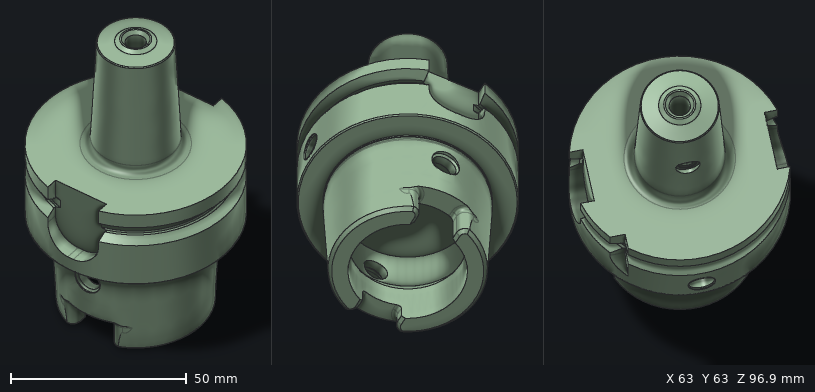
import cadquery as cq
import math

TOTAL_HEIGHT = 96.9

SHANK_HEIGHT = 32.0
SHANK_BOTTOM_RADIUS = 22.7
SHANK_TOP_RADIUS = 24.1
SHANK_EDGE_CHAMFER = 1.1
BORE_RADIUS = 17.0
CHAMBER_RADIUS = 19.9
CHAMBER_BOTTOM = 13.6
CLAMPING_ANGLE = math.radians(30)
RELIEF_RADIUS = 23.9
RELIEF_BOTTOM = 29.8
RELIEF_FLOOR = 30.6
RELIEF_TOP = 31.4

FLANGE_RADIUS = 31.5
FLANGE_TOP = 57.9
FLANGE_EDGE_CHAMFER = 0.4
GROOVE_MIDDLE = 49.9
GROOVE_FLOOR_RADIUS = 27.4
GROOVE_FLOOR_HALF_WIDTH = 1.7
GROOVE_FLANK_RADIUS = 28.7
GROOVE_CORNER = 0.4
FLANK_ANGLE = math.radians(30)

NECK_BASE_RADIUS = 13.1
NECK_TOP_RADIUS = 11.2
NECK_TOP = 95.6
NECK_EDGE_CHAMFER = 0.3
NECK_ROOT_FILLET = 2.9
NOSE_RIM_RADIUS = 6.0
NOSE_RIM_HEIGHT = 96.1
NOSE_TOP_RADIUS = 4.6

TOOL_RADIUS = 3.0
TOOL_BORE_DEPTH = 35.9
TOOL_MOUTH_RADIUS = 4.1
TOOL_MOUTH_DEPTH = 1.1
COOLANT_RADIUS = 1.9

CUTTER_RADIUS = 7.9
SLOT_BOTTOM = 36.8
FRONT_SLOT_HALF_WIDTH = 8.9
REAR_SLOT_HALF_WIDTH = 8.0
SLOT_WALL = 26.5
NOTCH_WALL = 20.0

KEYWAY_HALF_WIDTH = 6.2
FRONT_KEYWAY_DEPTH = 10.0
REAR_KEYWAY_DEPTH = 5.9
KEYWAY_ROOF_FILLET = 1.5
LUG_NOSE_RADIUS = 2.8
LUG_NOSE_REACH = 20.8
LUG_FLANK_ANGLE = math.radians(28)

CROSS_HOLE_RADIUS = 7.5 / 2
CROSS_HOLE_RIM_RADIUS = 4.4
CROSS_HOLE_HEIGHT = 23.2
FLANGE_HOLE_RADIUS = 3.7
FLANGE_HOLE_RIM_RADIUS = 4.0
FLANGE_HOLE_HEIGHT = 39.0
FLANGE_HOLE_DEPTH = 9.7
DRILL_HALF_ANGLE = math.radians(59)

SCREW_HEIGHT = 78.7
SCREW_POCKET_RADIUS = 3.5
SCREW_FACE = 10.95
SCREW_RECESS_RADIUS = 2.6
SCREW_RECESS_DEPTH = 0.3
HEX_ACROSS_FLATS = 3.0
HEX_DEPTH = 1.9

CLEARANCE = 4.8


def revolve_profile(points):
    """Turn (radius, height) points about the Z axis."""
    return cq.Workplane("XZ").polyline(points).close().revolve(360, (0, 0, 0), (0, 1, 0))


def make_shank():
    chamber_floor = CHAMBER_BOTTOM + (CHAMBER_RADIUS - BORE_RADIUS) / math.tan(CLAMPING_ANGLE)
    shank = revolve_profile([
        (BORE_RADIUS, 0),
        (SHANK_BOTTOM_RADIUS - SHANK_EDGE_CHAMFER, 0),
        (SHANK_BOTTOM_RADIUS, SHANK_EDGE_CHAMFER),
        (SHANK_TOP_RADIUS, RELIEF_BOTTOM),
        (RELIEF_RADIUS, RELIEF_FLOOR),
        (RELIEF_RADIUS, RELIEF_TOP),
        (SHANK_TOP_RADIUS, RELIEF_TOP),
        (SHANK_TOP_RADIUS, SHANK_HEIGHT),
        (CHAMBER_RADIUS, SHANK_HEIGHT),
        (CHAMBER_RADIUS, chamber_floor),
        (BORE_RADIUS, CHAMBER_BOTTOM),
    ])
    shank = cut_keyway(shank, FRONT_KEYWAY_DEPTH, front=True)
    return cut_keyway(shank, REAR_KEYWAY_DEPTH, front=False)


def make_flange():
    flank_rise = (FLANGE_RADIUS - GROOVE_FLANK_RADIUS) * math.tan(FLANK_ANGLE)
    groove_half = [
        (GROOVE_FLOOR_RADIUS, GROOVE_FLOOR_HALF_WIDTH - GROOVE_CORNER),
        (GROOVE_FLOOR_RADIUS + GROOVE_CORNER, GROOVE_FLOOR_HALF_WIDTH),
        (GROOVE_FLANK_RADIUS, GROOVE_FLOOR_HALF_WIDTH),
        (FLANGE_RADIUS, GROOVE_FLOOR_HALF_WIDTH + flank_rise),
    ]
    lower_side = [(r, GROOVE_MIDDLE - h) for r, h in reversed(groove_half)]
    upper_side = [(r, GROOVE_MIDDLE + h) for r, h in groove_half]
    return revolve_profile([
        (0, SHANK_HEIGHT),
        (FLANGE_RADIUS - FLANGE_EDGE_CHAMFER, SHANK_HEIGHT),
        (FLANGE_RADIUS, SHANK_HEIGHT + FLANGE_EDGE_CHAMFER),
        *lower_side,
        *upper_side,
        (FLANGE_RADIUS, FLANGE_TOP),
        (0, FLANGE_TOP),
    ])


def make_neck():
    """Tapered neck with a low conical nose and a round root fillet."""
    taper = math.atan2(NECK_BASE_RADIUS - NECK_TOP_RADIUS, NECK_TOP - FLANGE_TOP)
    tangent_length = NECK_ROOT_FILLET * math.tan((math.pi / 2 - taper) / 2)
    foot = (NECK_BASE_RADIUS + tangent_length, FLANGE_TOP)
    centre = (foot[0], FLANGE_TOP + NECK_ROOT_FILLET)
    mid_angle = (math.pi / 2 - taper) / 2
    fillet_middle = (
        centre[0] - NECK_ROOT_FILLET * math.sin(mid_angle),
        centre[1] - NECK_ROOT_FILLET * math.cos(mid_angle),
    )
    fillet_top = (
        centre[0] - NECK_ROOT_FILLET * math.cos(taper),
        centre[1] - NECK_ROOT_FILLET * math.sin(taper),
    )
    outline = (
        cq.Workplane("XZ")
        .moveTo(0, FLANGE_TOP)
        .lineTo(*foot)
        .threePointArc(fillet_middle, fillet_top)
        .lineTo(NECK_TOP_RADIUS, NECK_TOP - NECK_EDGE_CHAMFER)
        .lineTo(NECK_TOP_RADIUS - NECK_EDGE_CHAMFER, NECK_TOP)
        .lineTo(NOSE_RIM_RADIUS, NOSE_RIM_HEIGHT)
        .lineTo(NOSE_TOP_RADIUS, TOTAL_HEIGHT)
        .lineTo(0, TOTAL_HEIGHT)
        .close()
    )
    return outline.revolve(360, (0, 0, 0), (0, 1, 0))


def make_tool_bore():
    """Stepped bore along the axis: flared mouth, tool bore and coolant passage."""
    bore_bottom = TOTAL_HEIGHT - TOOL_BORE_DEPTH
    return revolve_profile([
        (0, 0),
        (COOLANT_RADIUS, 0),
        (COOLANT_RADIUS, bore_bottom),
        (TOOL_RADIUS, bore_bottom),
        (TOOL_RADIUS, TOTAL_HEIGHT - TOOL_MOUTH_DEPTH),
        (TOOL_MOUTH_RADIUS, TOTAL_HEIGHT),
        (0, TOTAL_HEIGHT),
    ])


def keyway_outline():
    """Outline whose walls flare outwards around the rounded lug noses, facing +Y."""
    nose_x = KEYWAY_HALF_WIDTH + LUG_NOSE_RADIUS
    nose_y = LUG_NOSE_REACH - LUG_NOSE_RADIUS
    flank_x = nose_x + LUG_NOSE_RADIUS * math.sin(LUG_FLANK_ANGLE)
    flank_y = nose_y + LUG_NOSE_RADIUS * math.cos(LUG_FLANK_ANGLE)
    arc_middle = (math.pi / 2 - LUG_FLANK_ANGLE) / 2
    nose_middle = (
        nose_x - LUG_NOSE_RADIUS * math.cos(arc_middle),
        nose_y + LUG_NOSE_RADIUS * math.sin(arc_middle),
    )
    reach_x = SHANK_TOP_RADIUS
    reach_y = flank_y - (reach_x - flank_x) * math.tan(LUG_FLANK_ANGLE)
    outer_y = SHANK_TOP_RADIUS + CLEARANCE
    inner_y = BORE_RADIUS / 2
    return (
        cq.Workplane("XY")
        .moveTo(0, inner_y)
        .lineTo(KEYWAY_HALF_WIDTH, inner_y)
        .lineTo(KEYWAY_HALF_WIDTH, nose_y)
        .threePointArc(nose_middle, (flank_x, flank_y))
        .lineTo(reach_x, reach_y)
        .lineTo(reach_x, outer_y)
        .lineTo(0, outer_y)
        .mirrorY()
    )


def cut_keyway(shank, depth, front):
    """Cut one keyway with a rounded roof and a chamfered open end."""
    cutter = keyway_outline().extrude(depth).faces(">Z").edges().fillet(KEYWAY_ROOF_FILLET)
    chamfer = keyway_outline().offset2D(SHANK_EDGE_CHAMFER).extrude(SHANK_EDGE_CHAMFER, taper=45)
    cutter = cutter.union(chamfer)
    if front:
        cutter = cutter.mirror("XZ")
    return shank.cut(cutter)


def make_rim_slot(left, right, corner_radius, wall, facing):
    """Round-cornered slot open at the top; facing is the sign of Y it opens to."""
    corner_height = SLOT_BOTTOM + corner_radius
    sink = corner_radius * (1 - math.sqrt(0.5))
    outline = (
        cq.Workplane("XZ")
        .moveTo(right, corner_height)
        .lineTo(right, TOTAL_HEIGHT)
        .lineTo(left, TOTAL_HEIGHT)
        .lineTo(left, corner_height)
        .threePointArc((left + sink, SLOT_BOTTOM + sink), (left + corner_radius, SLOT_BOTTOM))
    )
    if right - left > 2 * corner_radius:
        outline = outline.lineTo(right - corner_radius, SLOT_BOTTOM)
    outline = outline.threePointArc((right - sink, SLOT_BOTTOM + sink), (right, corner_height))
    cutter = outline.close().extrude(-FLANGE_RADIUS).translate((0, wall, 0))
    return cutter if facing > 0 else cutter.mirror("XZ")


def along_minus_x(body, height):
    """Lay a Z-axis cutter so that it starts from the axis and points to -X."""
    return body.rotate((0, 0, 0), (0, 1, 0), -90).translate((0, 0, height))


def make_cross_hole_half():
    """Half of the cross hole, from the axis outwards, with a flared rim."""
    flare = CROSS_HOLE_RIM_RADIUS - CROSS_HOLE_RADIUS
    rim = math.sqrt(SHANK_TOP_RADIUS**2 - CROSS_HOLE_RIM_RADIUS**2) - flare
    return revolve_profile([
        (0, 0),
        (CROSS_HOLE_RADIUS, 0),
        (CROSS_HOLE_RADIUS, rim - flare),
        (CROSS_HOLE_RIM_RADIUS, rim),
        (CROSS_HOLE_RIM_RADIUS, SHANK_TOP_RADIUS + CLEARANCE),
        (0, SHANK_TOP_RADIUS + CLEARANCE),
    ])


def make_flange_hole():
    """Blind hole with a drill-point bottom and a chamfered rim."""
    bottom = FLANGE_RADIUS - FLANGE_HOLE_DEPTH
    point = bottom - FLANGE_HOLE_RADIUS / math.tan(DRILL_HALF_ANGLE)
    chamfer = FLANGE_HOLE_RIM_RADIUS - FLANGE_HOLE_RADIUS
    hole = revolve_profile([
        (0, point),
        (FLANGE_HOLE_RADIUS, bottom),
        (FLANGE_HOLE_RADIUS, FLANGE_RADIUS - 2 * chamfer),
        (FLANGE_HOLE_RIM_RADIUS, FLANGE_RADIUS - chamfer),
        (FLANGE_HOLE_RIM_RADIUS, FLANGE_RADIUS + CLEARANCE),
        (0, FLANGE_RADIUS + CLEARANCE),
    ])
    return along_minus_x(hole, FLANGE_HOLE_HEIGHT)


def make_screw_recess():
    """Round pocket down to the set screw face, with its hexagon socket."""
    recess_floor = SCREW_FACE - SCREW_RECESS_DEPTH
    pocket = revolve_profile([
        (0, recess_floor),
        (SCREW_RECESS_RADIUS, recess_floor),
        (SCREW_RECESS_RADIUS, SCREW_FACE),
        (SCREW_POCKET_RADIUS, SCREW_FACE),
        (SCREW_POCKET_RADIUS, SCREW_FACE + CLEARANCE),
        (0, SCREW_FACE + CLEARANCE),
    ])
    hexagon = (
        cq.Workplane("XY")
        .workplane(offset=recess_floor - HEX_DEPTH)
        .polygon(6, HEX_ACROSS_FLATS, circumscribed=True)
        .extrude(HEX_DEPTH)
        .rotate((0, 0, 0), (0, 0, 1), 90)
    )
    return along_minus_x(pocket.union(hexagon), SCREW_HEIGHT)


front_slot = make_rim_slot(
    -FRONT_SLOT_HALF_WIDTH, FRONT_SLOT_HALF_WIDTH, CUTTER_RADIUS, SLOT_WALL, -1
)
rear_slot = make_rim_slot(
    -REAR_SLOT_HALF_WIDTH, REAR_SLOT_HALF_WIDTH, REAR_SLOT_HALF_WIDTH, SLOT_WALL, 1
)
notch = make_rim_slot(
    -NOTCH_WALL - 2 * CUTTER_RADIUS, -NOTCH_WALL, CUTTER_RADIUS, NOTCH_WALL, 1
)

cross_hole_rear = (
    make_cross_hole_half().rotate((0, 0, 0), (1, 0, 0), -90).translate((0, 0, CROSS_HOLE_HEIGHT))
)
cross_hole = cross_hole_rear.union(cross_hole_rear.mirror("XZ"))

result = make_shank().union(make_flange()).union(make_neck())
for cutter in (
    make_tool_bore(),
    front_slot,
    rear_slot,
    notch,
    cross_hole,
    make_flange_hole(),
    make_screw_recess(),
):
    result = result.cut(cutter)